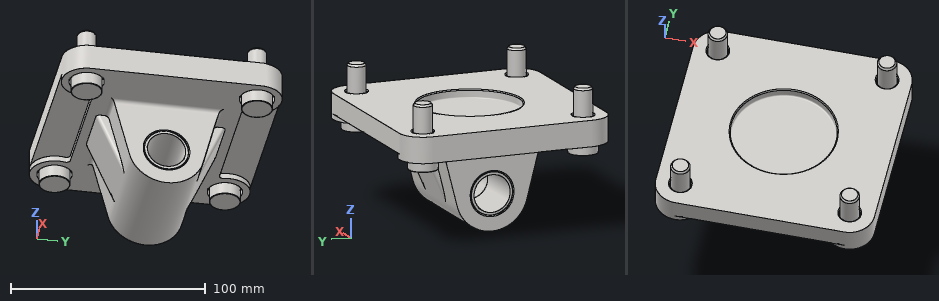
import cadquery as cq
import math

plate_side = 115.0
plate_thickness = 14.0
plate_bottom = -plate_thickness
corner_radius = 13.0
screw_offset = plate_side / 2 - corner_radius
screw_places = [(sx * screw_offset, sy * screw_offset) for sx in (-1, 1) for sy in (-1, 1)]

relief_height = 3.0
relief_fillet = 2.0
relief_wall = 39.0

recess_diameter = 55.0
recess_depth = 5.0
recess_rim_chamfer = 0.6
recess_floor_radius = 0.8

pin_drop = 41.0
lug_radius = 20.0
lug_width = 60.0
lug_root_radius = 2.5
lug_slope = math.radians(14.5)
lug_top_half = lug_radius / math.cos(lug_slope) + (pin_drop + plate_bottom) * math.tan(lug_slope)
rib_width = 30.0
rib_edge_radius = 2.0
rib_foot_drop = 7.4
rib_top_width = 67.6

bore_diameter = 23.0
bore_chamfer = 0.7
bushing_bore = 20.0
bushing_length = lug_width / 2

screw_diameter = 10.0
screw_rise = 15.0
tip_chamfer_radial = 0.8
tip_chamfer_length = 1.2
head_diameter = 16.0
head_height = 10.0
head_chamfer = 0.2
screw_hole_diameter = 11.0
screw_hole_chamfer = 0.6
counterbore_diameter = 18.0
counterbore_depth = 4.0
head_seat = plate_bottom + counterbore_depth


def make_lug():
    """Round-ended tapered prism along X, hanging from the plate."""
    foot_y = lug_radius * math.cos(lug_slope)
    foot_z = -pin_drop - lug_radius * math.sin(lug_slope)
    return (
        cq.Workplane("YZ")
        .moveTo(-lug_top_half, plate_bottom)
        .lineTo(-foot_y, foot_z)
        .threePointArc((0, -pin_drop - lug_radius), (foot_y, foot_z))
        .lineTo(lug_top_half, plate_bottom)
        .close()
        .extrude(lug_width / 2, both=True)
    )


def make_rib():
    """Tapered prism with rounded flanks, whose foot lies on the round end of the lug."""
    top_half = rib_top_width / 2
    foot_half = math.sqrt(lug_radius**2 - rib_foot_drop**2)
    foot_z = -pin_drop - rib_foot_drop
    rib = (
        cq.Workplane("YZ")
        .polyline(
            [
                (-top_half, plate_bottom),
                (-foot_half, foot_z),
                (foot_half, foot_z),
                (top_half, plate_bottom),
            ]
        )
        .close()
        .extrude(rib_width / 2, both=True)
    )
    return rib.edges("#X").edges("not |Y").fillet(rib_edge_radius)


def fillet_lug_root(bracket):
    """Fillet the lug's flanks and ends, but not the rib, where they meet the plate."""
    slack = 0.1
    root_box = cq.selectors.BoxSelector(
        (-lug_width / 2 - slack, -lug_top_half - slack, plate_bottom - slack),
        (lug_width / 2 + slack, lug_top_half + slack, plate_bottom + slack),
    )
    return bracket.edges(root_box).fillet(lug_root_radius)


def plate_block(size_x, size_y, bottom, top):
    """Block of the given footprint, centred on the Z axis."""
    return (
        cq.Workplane("XY", origin=(0, 0, bottom))
        .rect(size_x, size_y)
        .extrude(top - bottom)
    )


def make_plate():
    """Rounded square plate, relieved between its round corner pads on the front and back."""
    pad_spacing = 2 * screw_offset
    relief_top = plate_bottom + relief_height
    pads = (
        cq.Workplane("XY", origin=(0, 0, plate_bottom))
        .pushPoints(screw_places)
        .circle(corner_radius)
        .extrude(plate_thickness)
    )
    upper_layer = plate_block(plate_side, pad_spacing, relief_top, 0).union(
        plate_block(pad_spacing, plate_side, relief_top, 0)
    )
    lower_layer = plate_block(plate_side, 2 * relief_wall, plate_bottom, relief_top)
    side_strip = plate_block(corner_radius, pad_spacing, plate_bottom, relief_top)
    strip_offset = (plate_side - corner_radius) / 2
    for side in (-1, 1):
        lower_layer = lower_layer.union(side_strip.translate((side * strip_offset, 0, 0)))
    plate = pads.union(upper_layer).union(lower_layer)

    inner_corners = cq.selectors.BoxSelector(
        (-screw_offset, -screw_offset, plate_bottom), (screw_offset, screw_offset, relief_top)
    )
    return plate.edges("|Z").edges(inner_corners).fillet(relief_fillet)


def countersink(radius, chamfer):
    """45 degree cone that opens up to Z = 0 around a hole of the given radius."""
    return (
        cq.Workplane("XZ")
        .polyline([(0, 0), (radius + chamfer, 0), (radius, -chamfer), (0, -chamfer)])
        .close()
        .revolve(360, (0, 0, 0), (0, 1, 0))
    )


def cylinder(diameter, bottom, top):
    return cq.Workplane("XY", origin=(0, 0, bottom)).circle(diameter / 2).extrude(top - bottom)


def centring_recess():
    """Shallow round recess in the plate top, with a filleted floor and a chamfered rim."""
    recess = cylinder(recess_diameter, -recess_depth, 0)
    recess = recess.faces("<Z").edges().fillet(recess_floor_radius)
    return recess.union(countersink(recess_diameter / 2, recess_rim_chamfer))


def screw_hole():
    """Through hole, chamfered at the top and counterbored from below for the screw head."""
    return (
        cylinder(screw_hole_diameter, plate_bottom, 0)
        .union(cylinder(counterbore_diameter, plate_bottom, head_seat))
        .union(countersink(screw_hole_diameter / 2, screw_hole_chamfer))
    )


def pin_bore():
    """Bore through the lug along X, chamfered at both ends."""
    bore = (
        cq.Workplane("YZ", origin=(0, 0, -pin_drop))
        .circle(bore_diameter / 2)
        .extrude(lug_width / 2, both=True)
    )
    mouth = (
        countersink(bore_diameter / 2, bore_chamfer)
        .rotate((0, 0, 0), (0, 1, 0), 90)
        .translate((lug_width / 2, 0, -pin_drop))
    )
    return bore.union(mouth).union(mouth.mirror("YZ"))


def make_bracket():
    bracket = fillet_lug_root(make_plate().union(make_lug()).union(make_rib()))
    bracket = bracket.cut(centring_recess()).cut(pin_bore())
    for x, y in screw_places:
        bracket = bracket.cut(screw_hole().translate((x, y, 0)))
    return bracket


def make_bushing(start_x):
    return (
        cq.Workplane("YZ", origin=(start_x, 0, -pin_drop))
        .circle(bore_diameter / 2)
        .circle(bushing_bore / 2)
        .extrude(bushing_length)
    )


def make_screw(x, y):
    head_radius = head_diameter / 2
    shank_radius = screw_diameter / 2
    head_bottom = head_seat - head_height
    return (
        cq.Workplane("XZ")
        .polyline(
            [
                (0, head_bottom),
                (head_radius - head_chamfer, head_bottom),
                (head_radius, head_bottom + head_chamfer),
                (head_radius, head_seat),
                (shank_radius, head_seat),
                (shank_radius, screw_rise - tip_chamfer_length),
                (shank_radius - tip_chamfer_radial, screw_rise),
                (0, screw_rise),
            ]
        )
        .close()
        .revolve(360, (0, 0, 0), (0, 1, 0))
        .translate((x, y, 0))
    )


bracket = make_bracket()
bushings = [make_bushing(start_x) for start_x in (-bushing_length, 0)]
screws = [make_screw(x, y) for x, y in screw_places]

result = cq.Compound.makeCompound(
    [bracket.val()]
    + [bushing.val() for bushing in bushings]
    + [screw.val() for screw in screws]
)